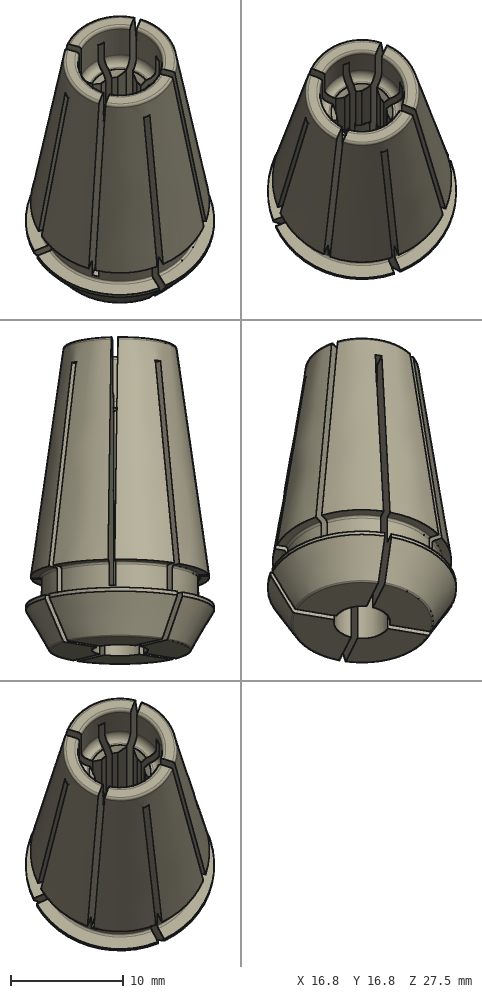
import cadquery as cq
import math

total_length = 27.5

head_radius = 8.4
head_cone_angle = 30.0
rim_bottom_z = 3.65
rim_top_z = 4.0

groove_radius = 7.0
groove_top_z = 6.65

body_large_radius = 7.97
body_taper_angle = 8.0

shank_radius = 2.5
shank_depth = 14.0

square_width = 4.2
pilot_radius = 2.25
lead_in_radius = 2.75
lead_in_angle = 45.0

pocket_radius = 3.75
pocket_depth = 4.9

pocket_floor_fillet = 0.8
pocket_rim_fillet = 0.3
top_edge_fillet = 0.25
groove_fillet = 0.2
bottom_edge_fillet = 0.2

slot_count = 4
slot_width = 0.6
bottom_slot_top_z = 25.5
top_slot_floor_z = 4.5

head_bottom_radius = head_radius - rim_bottom_z * math.tan(math.radians(head_cone_angle))
body_length = total_length - groove_top_z
body_small_radius = body_large_radius - body_length * math.tan(math.radians(body_taper_angle))
pocket_floor_z = total_length - pocket_depth
lead_in_depth = (lead_in_radius - pilot_radius) / math.tan(math.radians(lead_in_angle))
lead_in_bottom_z = pocket_floor_z - lead_in_depth
slot_pitch = 360 / slot_count
slot_length = head_radius + slot_width


def round_circle(solid, radius, z, fillet_radius):
    """Fillet the circular edge of the given radius centred on the axis at height z."""
    tolerance = 0.01
    edges = solid.edges("%CIRCLE").filter(
        lambda edge: abs(edge.Center().z - z) < tolerance and abs(edge.radius() - radius) < tolerance
    )
    return edges.fillet(fillet_radius)


def make_body():
    """Revolved outside: head, extraction groove and tapered body."""
    outline = [
        (0, 0),
        (head_bottom_radius, 0),
        (head_radius, rim_bottom_z),
        (head_radius, rim_top_z),
        (groove_radius, rim_top_z),
        (groove_radius, groove_top_z),
        (body_large_radius, groove_top_z),
        (body_small_radius, total_length),
        (0, total_length),
    ]
    body = cq.Workplane("XZ").polyline(outline).close().revolve(360, (0, 0), (0, 1))
    body = round_circle(body, head_bottom_radius, 0, bottom_edge_fillet)
    body = round_circle(body, groove_radius, rim_top_z, groove_fillet)
    body = round_circle(body, groove_radius, groove_top_z, groove_fillet)
    return round_circle(body, body_small_radius, total_length, top_edge_fillet)


def cut_round_bores(body):
    """Shank bore, pilot hole with conical lead-in, and top relief pocket."""
    profile = [
        (0, 0),
        (shank_radius, 0),
        (shank_radius, shank_depth),
        (pilot_radius, shank_depth),
        (pilot_radius, lead_in_bottom_z),
        (lead_in_radius, pocket_floor_z),
        (pocket_radius, pocket_floor_z),
        (pocket_radius, total_length),
        (0, total_length),
    ]
    bores = cq.Workplane("XZ").polyline(profile).close().revolve(360, (0, 0), (0, 1))
    body = body.cut(bores)
    body = round_circle(body, pocket_radius, pocket_floor_z, pocket_floor_fillet)
    return round_circle(body, pocket_radius, total_length, pocket_rim_fillet)


def cut_square_drive(body):
    """Square hole from the end of the shank bore up to the pocket floor."""
    square = (
        cq.Workplane("XY", origin=(0, 0, shank_depth))
        .rect(square_width, square_width)
        .extrude(pocket_floor_z - shank_depth)
    )
    corner_limit = cq.Workplane("XY").circle(lead_in_radius).extrude(total_length)
    return body.cut(square.intersect(corner_limit))


def cut_slots(body, first_angle, bottom_z, top_z):
    """Evenly spaced radial slots from the axis outward, between two heights."""
    for index in range(slot_count):
        angle = first_angle + index * slot_pitch
        slot = (
            cq.Workplane("XY", origin=(0, 0, bottom_z))
            .rect(slot_length, slot_width)
            .extrude(top_z - bottom_z)
            .translate((slot_length / 2, 0, 0))
            .rotate((0, 0, 0), (0, 0, 1), angle)
        )
        body = body.cut(slot)
    return body


result = make_body()
result = cut_round_bores(result)
result = cut_square_drive(result)
result = cut_slots(result, 0, 0, bottom_slot_top_z)
result = cut_slots(result, slot_pitch / 2, top_slot_floor_z, total_length)